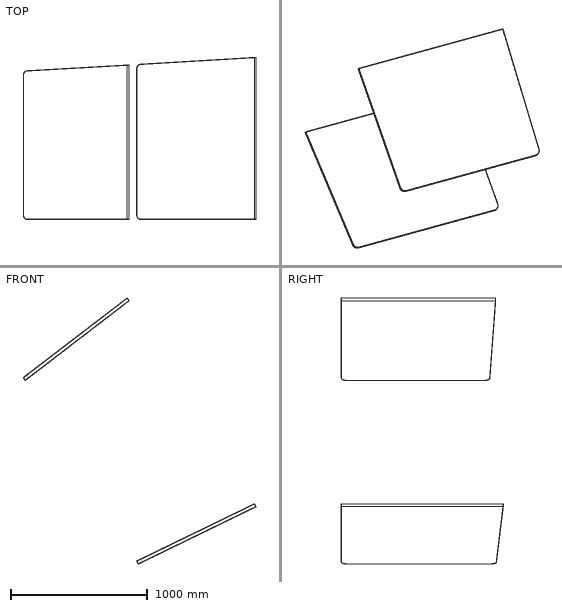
import cadquery as cq
import math

TOTAL_X = 1706.52
TOTAL_Y = 1186.96
TOTAL_Z = 1949.16

PLATE_LENGTH = 959.8
END_FACE_HEIGHT = 25.0
CORNER_RADIUS = 35.0

UPPER_TILT = 37.48
LOWER_TILT = 25.94

END_LEAN = (UPPER_TILT + LOWER_TILT) / 2

UPPER_LOW_WIDTH = 1087.8
UPPER_HIGH_WIDTH = 1131.5
LOWER_LOW_WIDTH = 1135.7
LOWER_HIGH_WIDTH = TOTAL_Y

lean_angle = math.radians(END_LEAN)
end_face_step = cq.Vector(
    -END_FACE_HEIGHT * math.sin(lean_angle), 0, END_FACE_HEIGHT * math.cos(lean_angle)
)


def slope_step(tilt):
    """Step along the slope from the low end to the high end of a plate."""
    angle = math.radians(tilt)
    return cq.Vector(PLATE_LENGTH * math.cos(angle), 0, PLATE_LENGTH * math.sin(angle))


def tilted_plate(low_width, high_width, tilt):
    """Flat plate with a straight side on Y = 0, a slanted +Y side and rounded low corners.

    The low edge of its underside lies on the Y axis.
    """
    near_low = cq.Vector(0, 0, 0)
    near_high = slope_step(tilt)
    far_high = near_high + cq.Vector(0, high_width, 0)
    far_low = cq.Vector(0, low_width, 0)
    outline = cq.Wire.makePolygon([near_low, near_high, far_high, far_low], close=True)
    underside = cq.Face.makeFromWires(outline)
    plate = cq.Workplane(cq.Solid.extrudeLinear(underside, end_face_step))

    corner_edges = plate.edges(cq.selectors.ParallelDirSelector(end_face_step))
    return corner_edges.edges("<X").fillet(CORNER_RADIUS)


upper_plate_z = TOTAL_Z - slope_step(UPPER_TILT).z - end_face_step.z
upper_plate = tilted_plate(UPPER_LOW_WIDTH, UPPER_HIGH_WIDTH, UPPER_TILT).translate(
    (-end_face_step.x, 0, upper_plate_z)
)

lower_plate_x = TOTAL_X - slope_step(LOWER_TILT).x
lower_plate = tilted_plate(LOWER_LOW_WIDTH, LOWER_HIGH_WIDTH, LOWER_TILT).translate(
    (lower_plate_x, 0, 0)
)

result = cq.Compound.makeCompound([upper_plate.val(), lower_plate.val()])